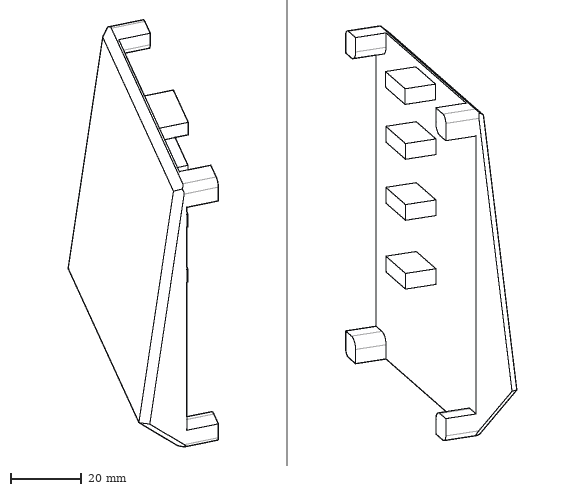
import cadquery as cq

width = 73.8
depth = 23.0
height = 100.0

support_length = 9.4
top_front_y = 10.6
bottom_front_y = 11.5
tip_height = 11.8
edge_chamfer = 2.4
corner_radius = 2.1

leg_size = 7.4
leg_inner_radius = 3.0
tab_width = 14.5
tab_height = 4.8
lower_tab_centers_z = (38.7, 59.8, 78.5)
top_tab_center_z = 95.2
top_tab_center_x = 0.3


def full_depth_block():
    """Side outline up to the rear plane, extruded across the whole width."""
    return (
        cq.Workplane("YZ")
        .polyline([
            (depth, 0),
            (bottom_front_y, 0),
            (0, tip_height),
            (top_front_y, height),
            (depth, height),
        ])
        .close()
        .extrude(width / 2, both=True)
    )


def rear_block(block_width, block_height, center_x, center_z):
    """Rectangular support from the plate back to the rear plane."""
    return cq.Workplane("XY").box(block_width, support_length, block_height).translate(
        (center_x, depth - support_length / 2, center_z)
    )


body = full_depth_block()
body = body.edges("|Y").fillet(corner_radius)

envelope = full_depth_block()
front_edge_points = [
    (0, top_front_y, height),
    (-width / 2, top_front_y / 2, (height + tip_height) / 2),
    (width / 2, top_front_y / 2, (height + tip_height) / 2),
    (-width / 2, bottom_front_y / 2, tip_height / 2),
    (width / 2, bottom_front_y / 2, tip_height / 2),
]
front_edges = [
    envelope.edges(cq.selectors.NearestToPointSelector(point)).val()
    for point in front_edge_points
]
envelope = envelope.newObject(front_edges).chamfer(edge_chamfer)
body = body.intersect(envelope)

rear_center = (0, depth - support_length / 2, height / 2)
inner_corner = cq.selectors.NearestToPointSelector(rear_center)
rear_space = rear_block(width, height, 0, height / 2)
for side in (-1, 1):
    for leg_z in (leg_size / 2, height - leg_size / 2):
        leg = rear_block(leg_size, leg_size, side * (width - leg_size) / 2, leg_z)
        leg = leg.edges("|Y").edges(inner_corner).fillet(leg_inner_radius)
        rear_space = rear_space.cut(leg)
body = body.cut(rear_space)

for center_z in lower_tab_centers_z:
    body = body.union(rear_block(tab_width, tab_height, 0, center_z))
top_tab = rear_block(tab_width, tab_height, top_tab_center_x, top_tab_center_z)
body = body.union(top_tab)

result = body